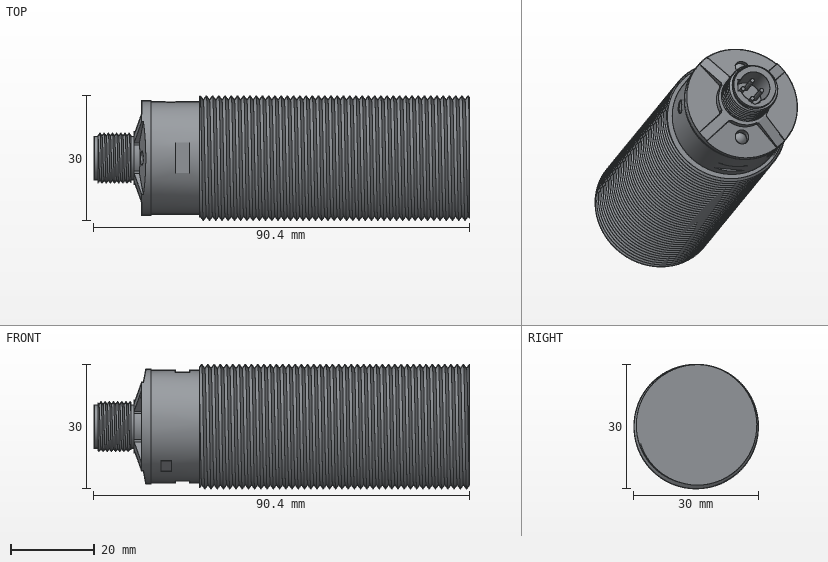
import cadquery as cq
import math


length = 90.4
connector_length = 9.6
sleeve_start = 13.7
sleeve_thread_start = 25.4

sleeve_diameter = 27.2
sleeve_thread_diameter = 30.0
sleeve_thread_depth = 1.0
sleeve_thread_pitch = 1.5
sleeve_thread_lead_in = 1.7
flat_offset = 13.1
flat_start = 19.6
flat_length = 3.4
square_flat_start = 16.1
square_flat_length = 2.5
square_flat_height = 3.5
square_flat_depth = 0.3
square_flat_angle = 45.0
dimple_diameter = 3.25
dimple_depth = 0.3
dimple_center = 18.4

flange_diameter = 27.7
cap_face = 11.5
sloped_sector_rim = 12.5
sloped_sector_angle = 10.6
rib_width = 2.7
neck_diameter = 12.8
neck_square = 11.2
lamp_offset = 8.9
lamp_diameter = 3.3
lamp_recess = 1.7
dome_height = 1.45

core_diameter = 10.5
plug_thread_start = 0.9
plug_thread_end = 8.9
plug_thread_diameter = 12.0
plug_thread_depth = 0.65
plug_thread_pitch = 1.0
plug_thread_lead_in = 0.7
socket_diameter = 7.5
socket_depth = 8.1
key_width = 3.0
key_reach = 4.25
notch_width = 2.7
notch_reach = 4.5
pin_diameter = 1.0
pin_circle_radius = 2.305
pin_recess = 2.1
pin_count = 4


def cylinder(diameter, start, end):
    """Cylinder about the X axis between two stations."""
    return cq.Workplane("YZ", origin=(start, 0, 0)).circle(diameter / 2).extrude(end - start)


def helix_turn(pitch, radius, height):
    """One right-handed turn about Z, from above the +X axis at the given height."""
    return cq.Wire.makeHelix(pitch, pitch, radius, center=cq.Vector(0, 0, height)).Edges()[0]


def screw_blank(crest_radius, root_radius, pitch, turn_count):
    """V-threaded screw along Z, bounded by its flanks and, at each end, by a spiral ramp and an upright step."""
    crest = helix_turn(pitch, crest_radius, pitch / 2)
    lower_root = helix_turn(pitch, root_radius, 0)
    upper_root = helix_turn(pitch, root_radius, pitch)
    lower_flank = cq.Face.makeRuledSurface(lower_root, crest)
    upper_flank = cq.Face.makeRuledSurface(crest, upper_root)
    ramp = cq.Face.makeRuledSurface(cq.Edge.makeLine(cq.Vector(0, 0, 0), cq.Vector(0, 0, pitch)), lower_root)
    step_outline = [(0, 0, 0), (root_radius, 0, 0), (crest_radius, 0, pitch / 2), (root_radius, 0, pitch), (0, 0, pitch)]
    step = cq.Face.makeFromWires(cq.Wire.makePolygon([cq.Vector(*corner) for corner in step_outline], close=True))
    faces = []
    for turn in range(turn_count):
        lift = cq.Vector(0, 0, turn * pitch)
        faces += [lower_flank.translate(lift), upper_flank.translate(lift)]
    top = cq.Vector(0, 0, turn_count * pitch)
    faces += [ramp, ramp.translate(top), step, step.translate(top)]
    return cq.Solid.makeSolid(cq.Shell.makeShell(faces))


def threaded_rod(diameter, depth, pitch, start, end, lead_in):
    """Right-handed V-threaded rod about X, cut square at both ends; a crest lies at -Z, lead_in before start."""
    turn_count = math.ceil((end - start + lead_in) / pitch) + 3
    blank = screw_blank(diameter / 2, diameter / 2 - depth, pitch, turn_count)
    screw = (
        cq.Workplane(blank)
        .translate((0, 0, start - lead_in - 2.5 * pitch))
        .rotate((0, 0, 0), (0, 1, 0), 90)
    )
    return screw.intersect(cylinder(2 * diameter, start, end), clean=False)


def make_sleeve():
    thread = threaded_rod(
        sleeve_thread_diameter,
        sleeve_thread_depth,
        sleeve_thread_pitch,
        sleeve_thread_start,
        length,
        sleeve_thread_lead_in,
    )
    plain = cylinder(sleeve_diameter, sleeve_start, sleeve_thread_start)
    radius = sleeve_diameter / 2
    for angle in (0, 180):
        flat = (
            cq.Workplane("XY", origin=(flat_start + flat_length / 2, 0, flat_offset))
            .rect(flat_length, sleeve_diameter)
            .extrude(radius)
            .rotate((0, 0, 0), (1, 0, 0), angle)
        )
        plain = plain.cut(flat)
    square_flat = (
        cq.Workplane("XZ", origin=(square_flat_start + square_flat_length / 2, square_flat_depth - radius, 0))
        .rect(square_flat_length, square_flat_height)
        .extrude(radius)
        .rotate((0, 0, 0), (1, 0, 0), square_flat_angle)
    )
    dimple = (
        cq.Workplane("XZ", origin=(dimple_center, radius - dimple_depth, 0))
        .circle(dimple_diameter / 2)
        .extrude(-radius)
    )
    return plain.cut(square_flat).cut(dimple).union(thread, clean=False)


def sloped_sector_station(height):
    """X of the sloped sectors at a height above or below the axis."""
    return sloped_sector_rim - (flange_diameter / 2 - height) * math.tan(math.radians(sloped_sector_angle))


def make_ribs():
    """Four diagonal ribs and the square corners of the neck, under one shared cone."""
    cone = (
        cq.Workplane("XY")
        .moveTo(connector_length, 0)
        .lineTo(connector_length, neck_diameter / 2)
        .lineTo(cap_face, flange_diameter / 2)
        .lineTo(sloped_sector_rim, flange_diameter / 2)
        .lineTo(sloped_sector_rim, 0)
        .close()
        .revolve(360, (0, 0, 0), (1, 0, 0))
    )
    rib_length = sloped_sector_rim - connector_length
    base = cq.Workplane("YZ", origin=(connector_length, 0, 0))
    ribs = base.rect(neck_square, neck_square).extrude(rib_length)
    for angle in (45, 135):
        bar = base.rect(rib_width, flange_diameter).extrude(rib_length)
        ribs = ribs.union(bar.rotate((0, 0, 0), (1, 0, 0), angle))
    return cone.intersect(ribs)


def sector():
    """Prism filling the 90 degree sector about +Z."""
    reach = flange_diameter
    return cq.Workplane("YZ").polyline([(0, 0), (reach, reach), (-reach, reach)]).close().extrude(sleeve_start)


def sloped_sector_space():
    """Open space in front of the sloped sector at +Z."""
    reach = flange_diameter
    space = (
        cq.Workplane("XZ", origin=(0, reach, 0))
        .polyline([(0, 0), (sloped_sector_station(0), 0), (sloped_sector_station(reach), reach), (0, reach)])
        .close()
        .extrude(2 * reach)
    )
    return space.intersect(sector())


def upright_sector_space():
    """Open space in front of the upright sector at +Y."""
    space = cylinder(2 * flange_diameter, 0, cap_face)
    return space.intersect(sector().rotate((0, 0, 0), (1, 0, 0), -90))


def make_cap():
    cap = cylinder(flange_diameter, connector_length, sleeve_start)
    for space in (sloped_sector_space(), upright_sector_space()):
        cap = cap.cut(space).cut(space.rotate((0, 0, 0), (1, 0, 0), 180))
    cap = cap.union(make_ribs()).union(cylinder(neck_diameter, connector_length, cap_face))
    floor = sloped_sector_station(lamp_offset) + lamp_recess
    dome_radius = (lamp_diameter ** 2 / 4 + dome_height ** 2) / (2 * dome_height)
    for side in (1, -1):
        recess = cylinder(lamp_diameter, connector_length, floor).translate((0, 0, side * lamp_offset))
        dome_center = (floor - dome_height + dome_radius, 0, side * lamp_offset)
        dome = cq.Workplane("XY").sphere(dome_radius).translate(dome_center)
        cap = cap.cut(recess.cut(dome))
    return cap


def make_socket_space():
    """Round socket with a keyway at +Y and a pointed notch at -Z."""
    socket = cylinder(socket_diameter, 0, socket_depth)
    keyway = cq.Workplane("YZ").center(key_reach / 2, 0).rect(key_reach, key_width).extrude(socket_depth)
    notch_top = -socket_diameter / 2
    notch = (
        cq.Workplane("YZ")
        .polyline([(0, 0), (-notch_width / 2, notch_top), (0, -notch_reach), (notch_width / 2, notch_top)])
        .close()
        .extrude(socket_depth)
    )
    return socket.union(keyway).union(notch)


def make_connector():
    thread = threaded_rod(
        plug_thread_diameter,
        plug_thread_depth,
        plug_thread_pitch,
        plug_thread_start,
        plug_thread_end,
        plug_thread_lead_in,
    )
    tip = cylinder(core_diameter, 0, plug_thread_start)
    relief = cylinder(core_diameter, plug_thread_end, connector_length)
    body = tip.union(relief).union(thread).cut(make_socket_space())
    pins = (
        cq.Workplane("YZ", origin=(pin_recess, 0, 0))
        .polarArray(pin_circle_radius, 0, 360, pin_count)
        .circle(pin_diameter / 2)
        .extrude(connector_length - pin_recess)
    )
    return body.union(pins)


sleeve = make_sleeve()
cap = make_cap()
connector = make_connector()
result = cq.Compound.makeCompound([sleeve.solids().val(), cap.solids().val(), connector.solids().val()])